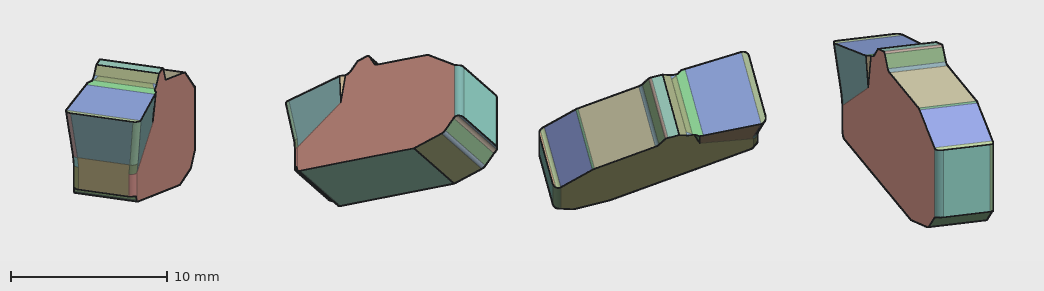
import cadquery as cq

length = 14
width = 5.0
height = 10.3
body_half_width = 2.1
corner_radius = 0.42
blend_radius = 0.42
small_blend_radius = 0.21
valley_radius = 0.56

front_face_y = 0.42
front_face_bottom_z = 3.99
front_kink_z = 6.3
rake_z = 9.6
edge_rise = 0.04
edge_land = 0.42

flare_rear_y = 4.42
flare_rear_half_width = 2.3
flare_front_half_width = width / 2
flare_apex_y = 4.37
flare_apex_z = 7.49
flare_step_length = 0.32
flare_low_z = 5.04
flare_high_z = 10.64

selection_margin = 0.01

outline = [
    (0, rake_z + edge_rise, 0),
    (edge_land, rake_z, 0),
    (4.2, rake_z, 0),
    (5.07, 9.65, valley_radius),
    (5.73, height, 0),
    (6.61, height, small_blend_radius),
    (7.15, 9.14, blend_radius),
    (11.42, 7.57, blend_radius),
    (13.69, 5.33, blend_radius),
    (length, 5.33, 0),
    (length, 0.91, 0),
    (13.65, 0.91, blend_radius),
    (12.71, 0, blend_radius),
    (10.3, 0, 0),
    (0.88, 3.43, blend_radius),
    (0.7, front_face_bottom_z, small_blend_radius),
    (front_face_y, front_face_bottom_z, 0),
    (front_face_y, front_kink_z, 0),
]


def make_profile(half_width):
    """Side outline extruded symmetrically about the YZ plane, with its corners rounded."""
    solid = (
        cq.Workplane("YZ")
        .polyline([(y, z) for y, z, _ in outline])
        .close()
        .extrude(half_width, both=True)
    )
    for y, z, radius in outline:
        if radius:
            corner = cq.selectors.BoxSelector(
                (-selection_margin, y - selection_margin, z - selection_margin),
                (selection_margin, y + selection_margin, z + selection_margin),
            )
            solid = solid.edges(corner).fillet(radius)
    return solid


def make_footprint():
    """Prism with rounded vertical corners that bounds the parallel-sided body."""
    return (
        cq.Workplane("XY")
        .center(0, (front_face_y + length) / 2)
        .rect(2 * body_half_width, length - front_face_y)
        .extrude(height)
        .edges("|Z")
        .fillet(corner_radius)
    )


def flare_section(z):
    """Plan section of the head at height z; every level has parallel sides, so the faces stay flat."""
    fraction = (z - flare_apex_z) / (rake_z - flare_apex_z)
    rear_y = flare_apex_y + fraction * (flare_rear_y - flare_apex_y)
    rear_x = body_half_width + fraction * (flare_rear_half_width - body_half_width)
    side_slope = (flare_front_half_width - flare_rear_half_width) / (flare_rear_y - edge_land)
    front_y = -front_face_y
    front_x = rear_x + side_slope * (rear_y - front_y)
    step_slope = flare_step_length / (flare_rear_half_width - body_half_width)
    inner_x = body_half_width / 2
    inner_y = rear_y + step_slope * (rear_x - inner_x)
    half = [(front_x, front_y), (rear_x, rear_y), (inner_x, inner_y)]
    points = half + [(-x, y) for x, y in reversed(half)]
    vectors = [cq.Vector(x, y, z) for x, y in points]
    return cq.Wire.makePolygon(vectors, close=True)


def make_head(profile):
    """Flared head with its two front corners rounded down the overhanging and vertical faces."""
    flare = cq.Solid.makeLoft([flare_section(flare_low_z), flare_section(flare_high_z)], True)
    head = profile.intersect(cq.Workplane(flare))
    front_corners = cq.selectors.BoxSelector(
        (-2 * body_half_width, -selection_margin, flare_low_z),
        (2 * body_half_width, front_face_y + selection_margin, rake_z),
    )
    tall_edges = head.edges(front_corners).edges("not |X")
    return tall_edges.fillet(corner_radius)


body = make_profile(body_half_width).intersect(make_footprint())
head = make_head(make_profile(2 * body_half_width))
result = body.union(head)